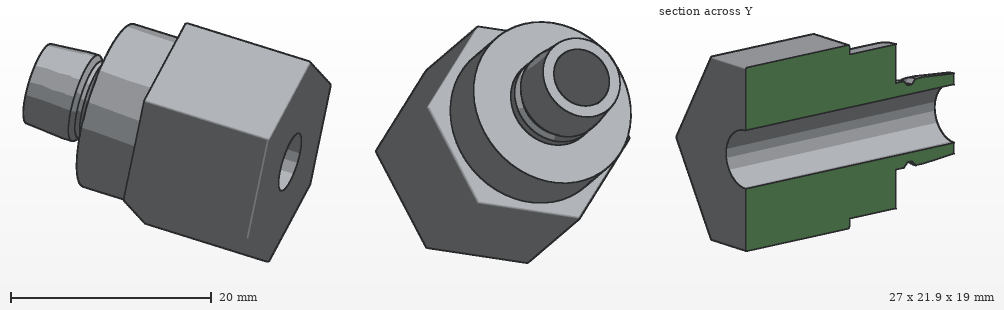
import cadquery as cq
import math

total_length = 27.0
hex_length = 13.5
collar_length = 6.0
taper_length = 4.0
land_length = 1.0
groove_width = 1.5

collar_diameter = 17.0
nipple_diameter = 9.0
nipple_tip_diameter = 8.32
groove_diameter = 8.0
bore_diameter = 6.0

across_flats = 19.0
hex_edge_radius = 0.25

across_corners = across_flats / math.cos(math.radians(30))
groove_depth = (nipple_diameter - groove_diameter) / 2
hex_start = total_length - hex_length
collar_start = hex_start - collar_length
groove_start = taper_length + land_length
groove_end = groove_start + groove_width


def make_nipple_and_collar():
    """Turned portion: half profile (X axial, Z radial) revolved about the X axis."""
    nipple_radius = nipple_diameter / 2
    groove_radius = groove_diameter / 2
    collar_radius = collar_diameter / 2
    profile = (
        cq.Workplane("XZ")
        .moveTo(0, 0)
        .lineTo(0, nipple_tip_diameter / 2)
        .lineTo(taper_length, nipple_radius)
        .lineTo(groove_start, nipple_radius)
        .lineTo(groove_start + groove_depth, groove_radius)
        .lineTo(groove_end - groove_depth, groove_radius)
        .lineTo(groove_end, nipple_radius)
        .lineTo(collar_start, nipple_radius)
        .lineTo(collar_start, collar_radius)
        .lineTo(hex_start, collar_radius)
        .lineTo(hex_start, 0)
        .close()
    )
    return profile.revolve(360, (0, 0, 0), (1, 0, 0))


def make_hexagon():
    """Hexagon with two corners on the Y axis and every edge rounded."""
    return (
        cq.Workplane("YZ", origin=(hex_start, 0, 0))
        .polygon(6, across_corners)
        .extrude(hex_length)
        .edges()
        .fillet(hex_edge_radius)
    )


def make_bore():
    """Cylinder that clears the through bore over the whole length."""
    return cq.Workplane("YZ").circle(bore_diameter / 2).extrude(total_length)


result = make_nipple_and_collar().union(make_hexagon()).cut(make_bore())